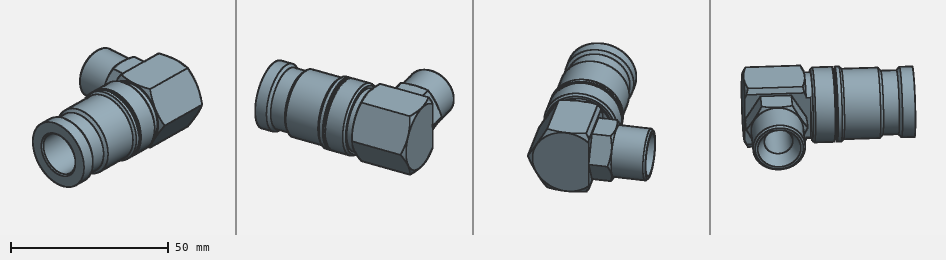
import cadquery as cq
import math

back_y = 27.05
front_y = -27.05

block_across_flats = 22.0
block_front_y = 7.6
block_chamfer_radius = 10.95
flat_x = -7.35
flat_front_y = 6.15

neck_radius = 10.5
collar_radius = 24.0 / 2
sleeve_radius = 11.25
waist_radius = 10.25
collar_back_y = 5.5
collar_chamfer = 0.7
groove_back_y = -1.45
groove_front_y = -2.4
groove_shoulder_radius = 11.5
ring_front_y = -3.7
ring_taper_end_y = -4.45
waist_back_y = -16.95
waist_front_y = -21.95
waist_taper = 1.0

mouth_radius = 7.0
mouth_chamfer = 0.5
mouth_depth = 22.75
passage_radius = 4.8
passage_end_y = 22.2

port_y = 17.2
port_across_flats = 17.0
port_hex_end_x = -14.3
port_hex_chamfer_radius = 8.35
tube_end_x = -25.3
tube_radius = 8.35
tube_chamfer = 0.65
seat_radius = 6.9
port_bore_radius = 4.55
seat_half_angle = 29.0

hex_chamfer_slope = math.tan(math.radians(30))


def corner_diameter(across_flats):
    return across_flats / math.cos(math.pi / 6)


def revolve_about_y(points):
    """Revolve a closed (radius, y) outline about the Y axis."""
    return cq.Workplane("XY").polyline(points).close().revolve(360, (0, 0, 0), (0, 1, 0))


def revolve_about_port(points):
    """Revolve a closed (x, radius) outline about the port axis."""
    outline = cq.Workplane("XY", origin=(0, port_y, 0)).polyline(points).close()
    return outline.revolve(360, (0, 0, 0), (1, 0, 0))


def make_block():
    corner = corner_diameter(block_across_flats)
    hexagon = cq.Workplane("XZ", origin=(0, back_y, 0)).polygon(6, corner)
    block = hexagon.extrude(back_y - block_front_y)
    drop = (corner / 2 - block_chamfer_radius) * hex_chamfer_slope
    envelope = revolve_about_y([
        (0, back_y),
        (block_chamfer_radius, back_y),
        (corner / 2, back_y - drop),
        (corner / 2, block_front_y + drop),
        (block_chamfer_radius, block_front_y),
        (0, block_front_y),
    ])
    return block.intersect(envelope)


def make_sleeve():
    groove_middle_y = (groove_back_y + groove_front_y) / 2
    return revolve_about_y([
        (0, block_front_y),
        (neck_radius, block_front_y),
        (neck_radius, collar_back_y),
        (collar_radius - collar_chamfer, collar_back_y),
        (collar_radius, collar_back_y - collar_chamfer),
        (collar_radius, groove_back_y),
        (groove_shoulder_radius, groove_back_y),
        (sleeve_radius, groove_middle_y),
        (groove_shoulder_radius, groove_front_y),
        (collar_radius, groove_front_y),
        (collar_radius, ring_front_y),
        (sleeve_radius, ring_taper_end_y),
        (sleeve_radius, waist_back_y + waist_taper),
        (waist_radius, waist_back_y),
        (waist_radius, waist_front_y),
        (sleeve_radius, waist_front_y - waist_taper),
        (sleeve_radius, front_y),
        (0, front_y),
    ])


def make_side_flat_cutter():
    size = 2 * collar_radius
    length = back_y - flat_front_y
    center = (flat_x - size / 2, flat_front_y + length / 2, 0)
    return cq.Workplane("XY").box(size, length, size).translate(center)


def make_port():
    corner = corner_diameter(port_across_flats)
    hexagon = cq.Workplane("YZ", origin=(port_hex_end_x, port_y, 0)).polygon(6, corner)
    port_hex = hexagon.extrude(-port_hex_end_x)
    drop = (corner / 2 - port_hex_chamfer_radius) * hex_chamfer_slope
    envelope = revolve_about_port([
        (0, 0),
        (port_hex_end_x, 0),
        (port_hex_end_x, port_hex_chamfer_radius),
        (port_hex_end_x + drop, corner / 2),
        (0, corner / 2),
    ])
    tube = revolve_about_port([
        (0, 0),
        (tube_end_x, 0),
        (tube_end_x, tube_radius - tube_chamfer),
        (tube_end_x + tube_chamfer, tube_radius),
        (0, tube_radius),
    ])
    return port_hex.intersect(envelope).union(tube)


def make_coupling_bore():
    mouth_end_y = front_y + mouth_depth
    return revolve_about_y([
        (0, front_y),
        (mouth_radius + mouth_chamfer, front_y),
        (mouth_radius, front_y + mouth_chamfer),
        (mouth_radius, mouth_end_y),
        (passage_radius, mouth_end_y),
        (passage_radius, passage_end_y),
        (0, passage_end_y),
    ])


def make_port_bore():
    seat_depth = (seat_radius - port_bore_radius) / math.tan(math.radians(seat_half_angle))
    return revolve_about_port([
        (0, 0),
        (tube_end_x, 0),
        (tube_end_x, seat_radius),
        (tube_end_x + seat_depth, port_bore_radius),
        (0, port_bore_radius),
    ])


body = make_block().union(make_sleeve()).cut(make_side_flat_cutter())
body = body.union(make_port())
result = body.cut(make_coupling_bore()).cut(make_port_bore())